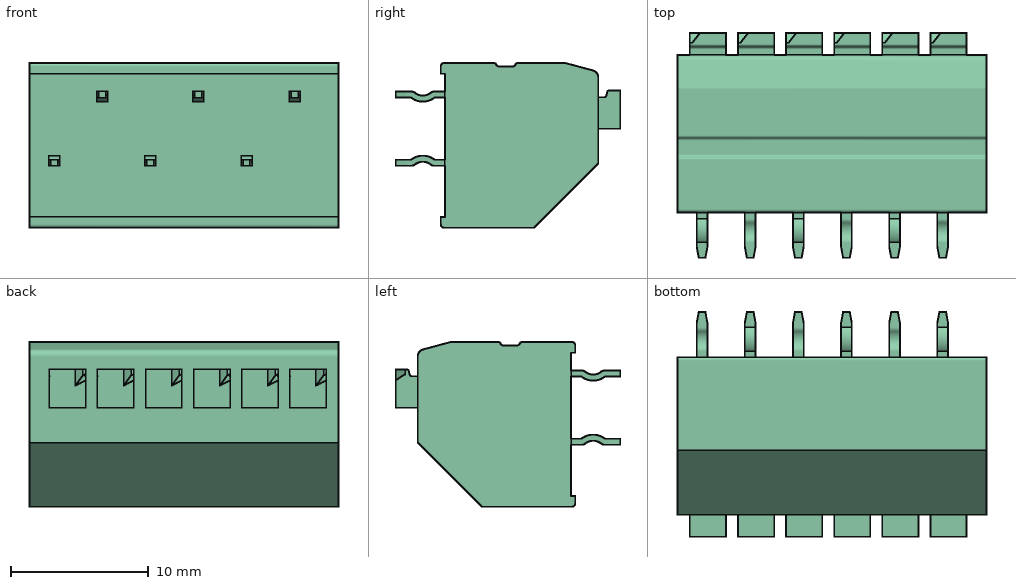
import cadquery as cq
import math

pole_count = 6
pitch = 3.5
end_wall = 1.5
body_length = pole_count * pitch + end_wall
body_left = -body_length / 2
body_depth = 11.17
body_height = 12.0

lip_depth = 0.3
lip_height = 0.8
lip_round = 0.25

wire_chamfer = 4.68
roof_slope_run = 2.42
roof_slope_angle = 15.0
roof_slope_drop = roof_slope_run * math.tan(math.radians(roof_slope_angle))
roof_round = 0.55

groove_center_y = 4.44
groove_top_width = 1.5
groove_depth = 0.25
groove_wall_angle = 65.0
groove_floor_width = groove_top_width - 2 * groove_depth / math.tan(math.radians(groove_wall_angle))
groove_round = 0.2

button_left_offset = 0.9
button_width = 2.65
button_reach = 1.6
button_back = body_depth + button_reach
button_bottom = 7.2
button_top = 10.0
button_shelf_drop = 0.5
button_ridge_depth = 0.94
button_step_run = 0.12
button_step_round = 0.17

notch_width = 0.75
notch_depth = 0.7
notch_side_drop = 0.8
notch_wall_angle = 38.0
notch_floor_angle = 40.0

first_pin_offset = 1.8
pin_width = 0.8
pin_thickness = 0.46
pin_length = 3.58
pin_row_low = 4.73
pin_row_high = 9.7
pin_tip_width = 0.5
pin_tip_length = 0.8
kink_center = 1.6
kink_half_width = 0.86
kink_rise = 0.3

overlap = 0.5


def extrude_along_x(profile, left, width):
    """Extrude a closed YZ profile from x = left over the given width."""
    return profile.extrude(width).translate((left, 0, 0))


def edges_at(solid, points):
    """Select the edges along X that pass through the given (y, z) points."""
    tolerance = 0.01
    picked = [
        edge
        for edge in solid.edges("|X").vals()
        if any(math.hypot(edge.Center().y - y, edge.Center().z - z) < tolerance for y, z in points)
    ]
    return solid.newObject(picked)


def make_body():
    slope_start = (body_depth - roof_slope_run, body_height)
    slope_end = (body_depth, body_height - roof_slope_drop)
    groove_rims = [
        (groove_center_y + side * groove_top_width / 2, body_height) for side in (1, -1)
    ]
    groove_corners = [
        (groove_center_y + side * groove_floor_width / 2, body_height - groove_depth) for side in (1, -1)
    ]
    lip_corners = [(-lip_depth, 0), (-lip_depth, body_height)]
    outline = [
        (-lip_depth, 0),
        (body_depth - wire_chamfer, 0),
        (body_depth, wire_chamfer),
        slope_end,
        slope_start,
        groove_rims[0],
        groove_corners[0],
        groove_corners[1],
        groove_rims[1],
        (-lip_depth, body_height),
        (-lip_depth, body_height - lip_height),
        (0, body_height - lip_height),
        (0, lip_height),
        (-lip_depth, lip_height),
    ]
    body = extrude_along_x(cq.Workplane("YZ").polyline(outline).close(), body_left, body_length)
    body = edges_at(body, lip_corners).fillet(lip_round)
    body = edges_at(body, [slope_start, slope_end]).fillet(roof_round)
    return edges_at(body, groove_rims + groove_corners).fillet(groove_round)


def make_notch():
    """Cutter for a button notch, with the button's upper left back corner at the origin.

    An upright wall runs obliquely from the back face to the notch's front end,
    and the floor falls along that wall toward the back.
    """
    sin_wall = math.sin(math.radians(notch_wall_angle))
    cos_wall = math.cos(math.radians(notch_wall_angle))
    floor_slope = math.tan(math.radians(notch_floor_angle))
    reach = 2.0
    floor_end = notch_width * sin_wall + notch_side_drop / floor_slope
    wall_plane = cq.Plane(
        origin=(notch_width, 0, 0),
        xDir=(-sin_wall, -cos_wall, 0),
        normal=(-cos_wall, sin_wall, 0),
    )
    wedge = (
        cq.Workplane(wall_plane)
        .polyline([(floor_end, 0), (-reach, 0), (-reach, -floor_slope * (floor_end + reach))])
        .close()
        .extrude(reach)
    )
    front_limit = cq.Workplane("XY").box(4 * reach, 2 * reach, 4 * reach)
    front_limit = front_limit.translate((0, reach - notch_depth, 0))
    return wedge.intersect(front_limit)


def make_button():
    """One release button with its left side at x = 0."""
    shelf_z = button_top - button_shelf_drop
    ridge_edge = (button_back - button_ridge_depth, button_top)
    step_foot = (button_back - button_ridge_depth - button_step_run, shelf_z)
    outline = [
        (body_depth - overlap, button_bottom),
        (button_back, button_bottom),
        (button_back, button_top),
        ridge_edge,
        step_foot,
        (body_depth - overlap, shelf_z),
    ]
    button = extrude_along_x(cq.Workplane("YZ").polyline(outline).close(), 0, button_width)
    button = edges_at(button, [ridge_edge, step_foot]).fillet(button_step_round)
    return button.cut(make_notch().translate((0, button_back, button_top)))


def make_pin():
    """One pin centred on x = 0 and z = 0 with its kink rising toward +Z."""
    half = pin_thickness / 2
    bend = 2 * math.atan(kink_rise / kink_half_width)
    outer_radius = kink_half_width / math.sin(bend)
    inner_radius = outer_radius - pin_thickness
    arch_center_z = half + kink_rise - outer_radius
    inner_half_width = inner_radius * math.sin(bend)
    inner_end_z = arch_center_z + inner_radius * math.cos(bend)
    roll_y = kink_half_width - pin_thickness * math.sin(bend / 2)
    roll_z = half - pin_thickness * math.cos(bend / 2)

    near = -kink_center + kink_half_width
    far = -kink_center - kink_half_width
    profile = (
        cq.Workplane("YZ")
        .moveTo(overlap, half)
        .lineTo(near, half)
        .threePointArc((-kink_center, half + kink_rise), (far, half))
        .lineTo(-pin_length, half)
        .lineTo(-pin_length, -half)
        .lineTo(far, -half)
        .threePointArc((-kink_center - roll_y, roll_z), (-kink_center - inner_half_width, inner_end_z))
        .threePointArc(
            (-kink_center, arch_center_z + inner_radius),
            (-kink_center + inner_half_width, inner_end_z),
        )
        .threePointArc((-kink_center + roll_y, roll_z), (near, -half))
        .lineTo(overlap, -half)
        .close()
    )
    bar = extrude_along_x(profile, -pin_width / 2, pin_width)
    taper_start = -pin_length + pin_tip_length
    plan = (
        cq.Workplane("XY")
        .polyline(
            [
                (-pin_width / 2, overlap),
                (-pin_width / 2, taper_start),
                (-pin_tip_width / 2, -pin_length),
                (pin_tip_width / 2, -pin_length),
                (pin_width / 2, taper_start),
                (pin_width / 2, overlap),
            ]
        )
        .close()
        .extrude(pin_thickness + kink_rise, both=True)
    )
    return bar.intersect(plan)


body = make_body()
button = make_button()
rising_pin = make_pin()
falling_pin = rising_pin.mirror("XY")

result = body
for pole in range(pole_count):
    pole_x = body_left + pole * pitch
    result = result.union(button.translate((pole_x + button_left_offset, 0, 0)))
    if pole % 2 == 0:
        pin = rising_pin.translate((pole_x + first_pin_offset, 0, pin_row_low))
    else:
        pin = falling_pin.translate((pole_x + first_pin_offset, 0, pin_row_high))
    result = result.union(pin)